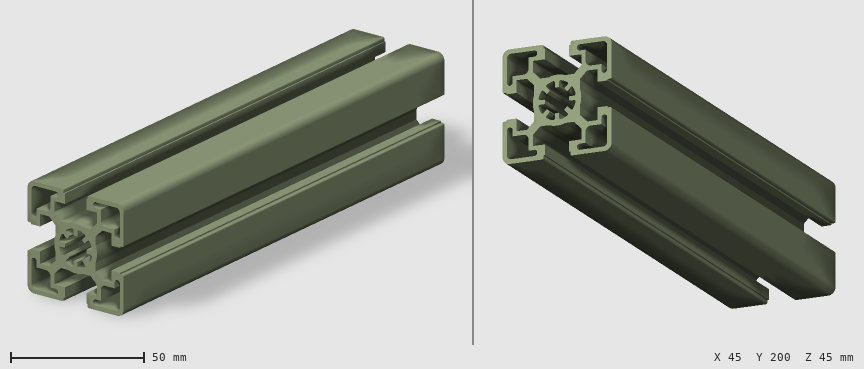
import cadquery as cq
import math

length = 200.0
side = 45.0
half_side = side / 2
outer_radius = 3.0

slot_opening = 10.0
slot_inner_width = 20.0
lip_thickness = 5.8
lip_edge_radius = 0.5
lip_step_width = 0.5
lip_step_depth = 1.5
core_side = 18.8
core_crown_radius = 10.0
arm_half_offset = 2.5

outer_wall = 1.8
slot_wall = 1.8
nose_width = 2.5
nose_end = 8.2
pocket_outer_radius = 1.8
pocket_bend_radius = 2.0

bore_radius = 7.8
tooth_tip_radius = 5.0
tooth_width = 1.8
tooth_root_radius = 0.5
tooth_tip_rounding = 0.5
tooth_count = 8


def prism(sketch):
    """Extrude a profile along the whole length of the part."""
    return sketch.extrude(length / 2, both=True)


def profile_plane():
    return cq.Workplane("XZ")


def make_body():
    """Square bar with rounded long edges."""
    return prism(profile_plane().rect(side, side)).edges("|Y").fillet(outer_radius)


def make_slot():
    """T-slot opening upward, with a stepped mouth and a crowned floor."""
    mouth = slot_opening / 2
    inner = slot_inner_width / 2
    lip_bottom = half_side - lip_thickness
    floor = core_side / 2
    mouth_step = mouth + lip_step_width
    step_height = half_side - lip_step_depth
    mouth_outer = mouth_step + lip_edge_radius
    diagonal = lip_edge_radius * (1 - math.sqrt(0.5))
    slot = prism(
        profile_plane()
        .moveTo(-mouth_outer, half_side)
        .threePointArc(
            (-mouth_step - diagonal, half_side - diagonal),
            (-mouth_step, half_side - lip_edge_radius),
        )
        .lineTo(-mouth_step, step_height)
        .lineTo(-mouth, step_height)
        .lineTo(-mouth, lip_bottom)
        .lineTo(-inner, lip_bottom)
        .lineTo(-inner, inner + arm_half_offset)
        .lineTo(-floor + arm_half_offset, floor)
        .lineTo(floor - arm_half_offset, floor)
        .lineTo(inner, inner + arm_half_offset)
        .lineTo(inner, lip_bottom)
        .lineTo(mouth, lip_bottom)
        .lineTo(mouth, step_height)
        .lineTo(mouth_step, step_height)
        .lineTo(mouth_step, half_side - lip_edge_radius)
        .threePointArc(
            (mouth_step + diagonal, half_side - diagonal),
            (mouth_outer, half_side),
        )
        .close()
    )
    crown = prism(profile_plane().circle(core_crown_radius))
    return slot.cut(crown)


def make_pocket():
    """Corner pocket in the +X +Z quadrant, with a round-ended nose behind each lip."""
    outer = half_side - outer_wall
    inner = slot_inner_width / 2 + slot_wall
    nose_inner = outer - nose_width
    nose_middle = outer - nose_width / 2
    nose_start = nose_end + nose_width / 2
    bend = outer - pocket_outer_radius
    bend_middle = bend + pocket_outer_radius * math.sqrt(0.5)
    arm_bend = inner + pocket_bend_radius
    arm_bend_middle = arm_bend - pocket_bend_radius * math.sqrt(0.5)
    return prism(
        profile_plane()
        .moveTo(nose_start, outer)
        .lineTo(bend, outer)
        .threePointArc((bend_middle, bend_middle), (outer, bend))
        .lineTo(outer, nose_start)
        .threePointArc((nose_middle, nose_end), (nose_inner, nose_start))
        .lineTo(nose_inner, inner)
        .lineTo(arm_bend, inner)
        .threePointArc((arm_bend_middle, arm_bend_middle), (inner, arm_bend))
        .lineTo(inner, nose_inner)
        .lineTo(nose_start, nose_inner)
        .threePointArc((nose_end, nose_middle), (nose_start, outer))
        .close()
    )


def axis_distance(edge):
    """Distance of a lengthwise edge from the long axis of the part."""
    center = edge.Center()
    return math.hypot(center.x, center.z)


def make_bore():
    """Round bore reduced by evenly spaced teeth that point at the axis."""
    bore = prism(profile_plane().circle(bore_radius))
    for index in range(tooth_count):
        tooth = prism(
            profile_plane()
            .center(tooth_tip_radius + bore_radius / 2, 0)
            .rect(bore_radius, tooth_width)
        )
        bore = bore.cut(tooth.rotate((0, 0, 0), (0, 1, 0), index * 360 / tooth_count))
    middle_radius = (tooth_tip_radius + bore_radius) / 2
    roots = bore.edges("|Y").filter(lambda edge: axis_distance(edge) > middle_radius)
    bore = roots.fillet(tooth_root_radius)
    tip_limit = tooth_tip_radius + tooth_tip_rounding
    tips = bore.edges("|Y").filter(lambda edge: axis_distance(edge) < tip_limit)
    return tips.fillet(tooth_tip_rounding)


slot = make_slot()
pocket = make_pocket()
result = make_body().cut(make_bore())
for quarter in range(4):
    angle = quarter * 90
    result = result.cut(slot.rotate((0, 0, 0), (0, 1, 0), angle))
    result = result.cut(pocket.rotate((0, 0, 0), (0, 1, 0), angle))